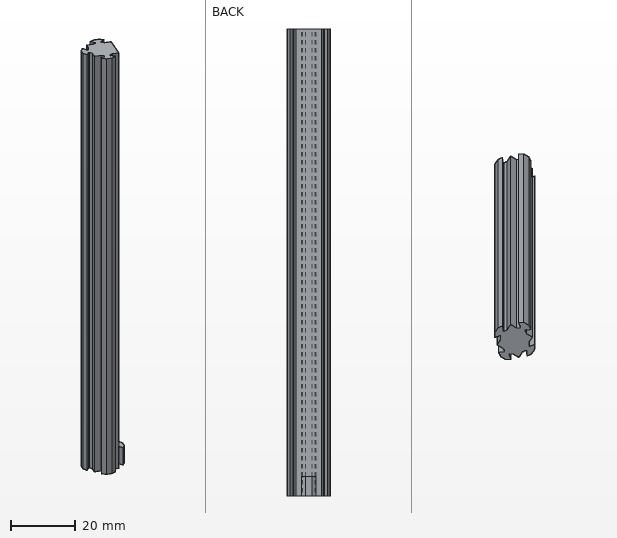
import cadquery as cq

LENGTH = 146.0
OVERALL_WIDTH = 13.6
CORE_WIDTH = 8.0
SHORT_RAIL_LENGTH = 6.1

BASE_WIDTH = 3.8
BASE_RISE = 0.6
NECK_WIDTH = 1.9
FLARE_DEPTH = 1.0
HEAD_WIDTH = 4.7
CROWN_RISE = 0.9
CROWN_WIDTH = 1.9

CORE_HALF = CORE_WIDTH / 2
RAIL_OUTER = OVERALL_WIDTH / 2
TIP_DISTANCE = RAIL_OUTER - CROWN_RISE
NECK_TOP = TIP_DISTANCE - FLARE_DEPTH


def rail(length, angle):
    """Rail rising from the bottom end, turned about Z from the +X side."""
    half_outline = [
        (0, BASE_WIDTH / 2),
        (CORE_HALF, BASE_WIDTH / 2),
        (CORE_HALF + BASE_RISE, NECK_WIDTH / 2),
        (NECK_TOP, NECK_WIDTH / 2),
        (TIP_DISTANCE, HEAD_WIDTH / 2),
        (RAIL_OUTER, CROWN_WIDTH / 2),
    ]
    mirrored_half = [(x, -y) for x, y in reversed(half_outline)]
    body = cq.Workplane("XY").polyline(half_outline + mirrored_half).close().extrude(length)
    return body.rotate((0, 0, 0), (0, 0, 1), angle)


result = cq.Workplane("XY").rect(CORE_WIDTH, CORE_WIDTH).extrude(LENGTH)

for side_angle in (0, 180, 270):
    result = result.union(rail(LENGTH, side_angle))

result = result.union(rail(SHORT_RAIL_LENGTH, 90))